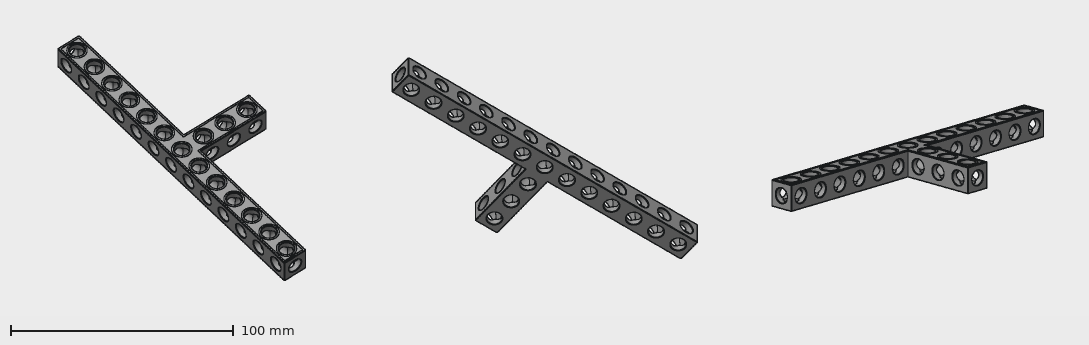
import cadquery as cq

pitch = 12.5
bar_hole_count = 13
stem_hole_count = 3
hole_diameter = 7.0
edge_chamfer = 0.3
rim_width = 1.1
recess_depth = 0.2

half = pitch / 2
bar_length = bar_hole_count * pitch
stem_length = stem_hole_count * pitch
stem_end = half + stem_length
hole_radius = hole_diameter / 2
collar_radius = hole_radius + rim_width
bar_xs = [(i - (bar_hole_count - 1) / 2) * pitch for i in range(bar_hole_count)]
stem_ys = [(i + 1) * pitch for i in range(stem_hole_count)]
top_centres = [(x, 0) for x in bar_xs] + [(0, y) for y in stem_ys]


def tee(inset, bottom, top):
    """T-shaped slab between two heights, its outline moved inwards by inset."""
    height = top - bottom
    bar = cq.Workplane("XY", origin=(0, 0, bottom)).rect(bar_length - 2 * inset, pitch - 2 * inset)
    stem = cq.Workplane("XY", origin=(0, stem_end / 2 - inset / 2, bottom))
    stem = stem.rect(pitch - 2 * inset, stem_end - inset)
    return bar.extrude(height).union(stem.extrude(height)).clean()


def is_inside_corner(edge):
    """True for the two upright edges where the stem meets the bar."""
    centre = edge.Center()
    return abs(abs(centre.x) - half) < edge_chamfer and abs(centre.y - half) < edge_chamfer


def make_body():
    body = tee(0, -half, half)
    outer_corners = [e for e in body.edges("|Z").vals() if not is_inside_corner(e)]
    face_edges = body.faces("|Z").edges().vals()
    return body.newObject(outer_corners + face_edges).chamfer(edge_chamfer)


def make_top_recess():
    """Shallow panel inside the rim, leaving a collar standing around each hole."""
    floor = half - recess_depth
    collars = cq.Workplane("XY", origin=(0, 0, floor)).pushPoints(top_centres)
    return tee(rim_width, floor, half).cut(collars.circle(collar_radius).extrude(recess_depth))


def make_hole(start, direction, length):
    """Through hole from start along direction, with a chamfered mouth at each end."""
    start = cq.Vector(*start)
    direction = cq.Vector(*direction)
    end = start + direction * length
    mouth_radius = hole_radius + edge_chamfer
    drill = cq.Workplane(cq.Solid.makeCylinder(hole_radius, length, start, direction))
    for point, inward in ((start, direction), (end, direction * -1)):
        drill = drill.union(
            cq.Workplane(cq.Solid.makeCone(mouth_radius, hole_radius, edge_chamfer, point, inward))
        )
    return drill


def make_holes():
    holes = [make_hole((-bar_length / 2, 0, 0), (1, 0, 0), bar_length)]
    for x, y in top_centres:
        holes.append(make_hole((x, y, -half), (0, 0, 1), pitch))
    for x in bar_xs:
        length = half + stem_end if x == 0 else pitch
        holes.append(make_hole((x, -half, 0), (0, 1, 0), length))
    for y in stem_ys:
        holes.append(make_hole((-half, y, 0), (1, 0, 0), pitch))
    return holes


result = make_body().cut(make_top_recess())
for hole in make_holes():
    result = result.cut(hole)